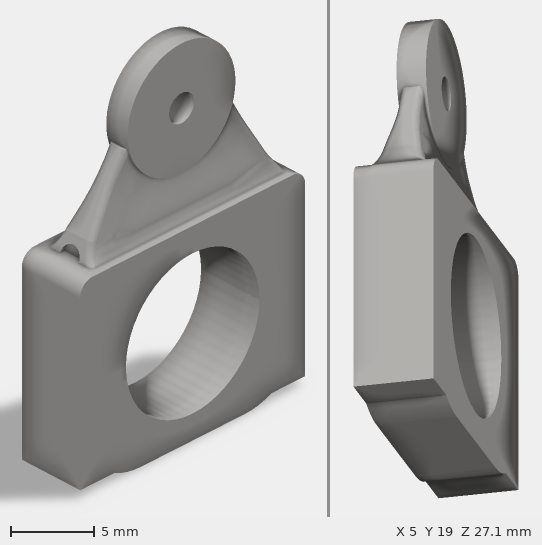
import cadquery as cq

THICKNESS = 5.0
WIDTH = 19.0
TOTAL_HEIGHT = 27.1
BORE_DIAMETER = 11.27
SPLIT_Z = 7.53
UPPER_TOP_Z = 15.1
UPPER_CORNER_RADIUS = 1.03
LOWER_BOTTOM_Z = 0.51

PAD_CORNER_RADIUS = 5.1

LUG_DIAMETER = 9.1
LUG_THICKNESS = 1.85
LUG_HOLE_DIAMETER = 2.1
LUG_X = 0.14
LUG_Y = 0.5
LUG_Z = TOTAL_HEIGHT - LUG_DIAMETER / 2

WEB_TOP_Z = 21.4
WEB_KNEE_Z = 16.47
WEB_END_Y = {
    UPPER_TOP_Z: (-7.96, 8.5),
    WEB_KNEE_Z: (-7.35, 7.6),
    WEB_TOP_Z: (-4.12, 4.95),
}
WEB_FLANKS = [
    (0.0, 1.9, UPPER_TOP_Z),
    (0.05, 1.38, 15.82),
    (0.1, 1.15, 16.8),
    (LUG_X, 0.87, 18.15),
    (LUG_X, 0.75, WEB_TOP_Z),
]
WEB_EDGE_RADIUS = 0.4

SCOOP_DIAMETER = 1.63
SCOOP_FLOOR_Y = -7.53


def disc(diameter, thickness, x, y, z):
    """Cylinder along X, centred on (x, y, z)."""
    return (
        cq.Workplane("YZ", origin=(x - thickness / 2, y, z))
        .circle(diameter / 2)
        .extrude(thickness)
    )


def slab(bottom, top):
    """Block of full thickness and width between two heights."""
    return (
        cq.Workplane("XY", origin=(0, 0, bottom))
        .rect(THICKNESS, WIDTH)
        .extrude(top - bottom)
    )


def web_side_shape():
    """Tapering outline in YZ, run through the full thickness."""
    low_end = [(limits[0], z) for z, limits in WEB_END_Y.items()]
    high_end = [(limits[1], z) for z, limits in WEB_END_Y.items()]
    return (
        cq.Workplane("YZ", origin=(-THICKNESS / 2, 0, 0))
        .polyline(low_end + high_end[::-1])
        .close()
        .extrude(THICKNESS)
    )


def web_flank_shape():
    """Outline in XZ with flaring flanks, run through the full width."""
    right_flank = [(mid + half, z) for mid, half, z in WEB_FLANKS]
    left_flank = [(mid - half, z) for mid, half, z in WEB_FLANKS]
    return (
        cq.Workplane("XZ", origin=(0, WIDTH / 2, 0))
        .moveTo(*right_flank[0])
        .spline(right_flank[1:], includeCurrent=True)
        .lineTo(*left_flank[-1])
        .spline(left_flank[-2::-1], includeCurrent=True)
        .close()
        .extrude(WIDTH)
    )


def make_web():
    web = web_side_shape().intersect(web_flank_shape())
    web = web.edges("not(|X or |Y)").fillet(WEB_EDGE_RADIUS)
    scoop = (
        cq.Workplane("XZ", origin=(0, SCOOP_FLOOR_Y, UPPER_TOP_Z))
        .circle(SCOOP_DIAMETER / 2)
        .extrude(WIDTH / 2)
    )
    return web.cut(scoop)


def make_upper_half(bore):
    block = slab(SPLIT_Z, UPPER_TOP_Z).edges("|X and >Z").fillet(UPPER_CORNER_RADIUS)
    lug = disc(LUG_DIAMETER, LUG_THICKNESS, LUG_X, LUG_Y, LUG_Z)
    lug_hole = disc(LUG_HOLE_DIAMETER, THICKNESS, LUG_X, LUG_Y, LUG_Z)
    return block.union(make_web()).union(lug).cut(lug_hole).cut(bore)


def make_lower_half(bore):
    return slab(LOWER_BOTTOM_Z, SPLIT_Z).cut(bore)


def make_foot_pad():
    rounded = slab(0, SPLIT_Z).edges("|X and <Z").fillet(PAD_CORNER_RADIUS)
    return rounded.cut(slab(LOWER_BOTTOM_Z, SPLIT_Z))


bore = disc(BORE_DIAMETER, THICKNESS, 0, 0, SPLIT_Z)
upper_half = make_upper_half(bore)
lower_half = make_lower_half(bore)
foot_pad = make_foot_pad()

result = cq.Compound.makeCompound([upper_half.val(), lower_half.val(), foot_pad.val()])